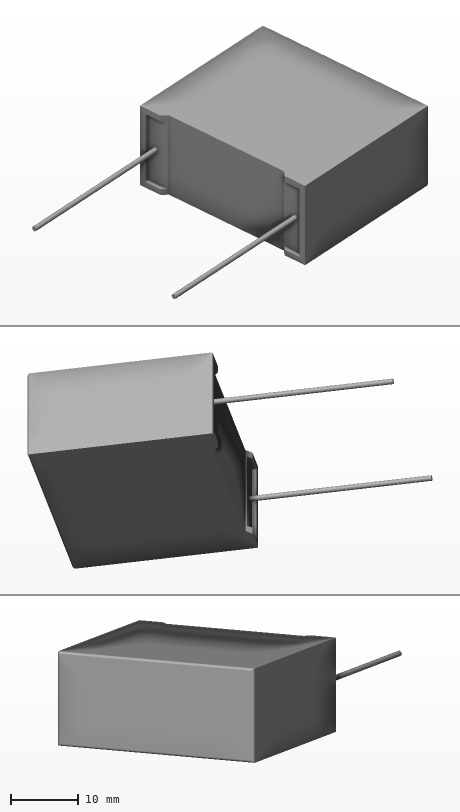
import cadquery as cq

case_width = 32.5
case_height = 14.3
total_length = 55.3
lead_length = 27.05
case_length = total_length - lead_length

back_edge_radius = 0.4
foot_width = 4.05
relief_depth = 0.9
wall = 1.05

resin_inset = 0.65
bridge_thickness = 1.1
pocket_width = 3.65

lead_diameter = 0.85
lead_pitch = 27.5

window_height = case_height - 2 * wall
cavity_width = case_width - 2 * wall
pocket_center = (cavity_width - pocket_width) / 2
bridge_front = relief_depth + wall
cavity_back = bridge_front + bridge_thickness
sides = (-1, 1)


def box_between(width, height, front, back, center_x=0):
    """Box centred on X = center_x and Z = 0, spanning Y from front to back."""
    depth = back - front
    return cq.Workplane("XY").box(width, depth, height).translate((center_x, front + depth / 2, 0))


def make_lead(side):
    """Round wire that starts at the back of the resin and runs out towards -Y."""
    return (
        cq.Workplane("XZ", origin=(side * lead_pitch / 2, cavity_back, 0))
        .circle(lead_diameter / 2)
        .extrude(cavity_back + lead_length)
    )


def make_cavity(pocket_front):
    """Two end pockets starting at Y = pocket_front, joined by a bridge behind the front wall."""
    cavity = box_between(cavity_width, window_height, bridge_front, cavity_back)
    for side in sides:
        pocket = box_between(pocket_width, window_height, pocket_front, cavity_back, side * pocket_center)
        cavity = cavity.union(pocket)
    return cavity


def make_relief():
    """Shallow channel between the feet, with 45 degree ends, open through the full height."""
    outer_half = case_width / 2 - foot_width
    inner_half = outer_half - relief_depth
    return (
        cq.Workplane("XY")
        .polyline([
            (-outer_half, 0),
            (outer_half, 0),
            (inner_half, relief_depth),
            (-inner_half, relief_depth),
        ])
        .close()
        .extrude(case_height / 2, both=True)
    )


def make_case():
    """Block with rounded back edges, cut by the relief and the resin cavity."""
    block = box_between(case_width, case_height, 0, case_length)
    block = block.faces(">Y").edges().fillet(back_edge_radius)
    return block.cut(make_relief()).cut(make_cavity(0))


def make_resin(leads):
    """Resin filling the cavity up to its inset, with a hole for each lead."""
    resin = make_cavity(resin_inset)
    for lead in leads:
        resin = resin.cut(lead)
    return resin


leads = [make_lead(side) for side in sides]
case = make_case()
resin = make_resin(leads)

result = cq.Compound.makeCompound([case.val(), resin.val(), *[lead.val() for lead in leads]])